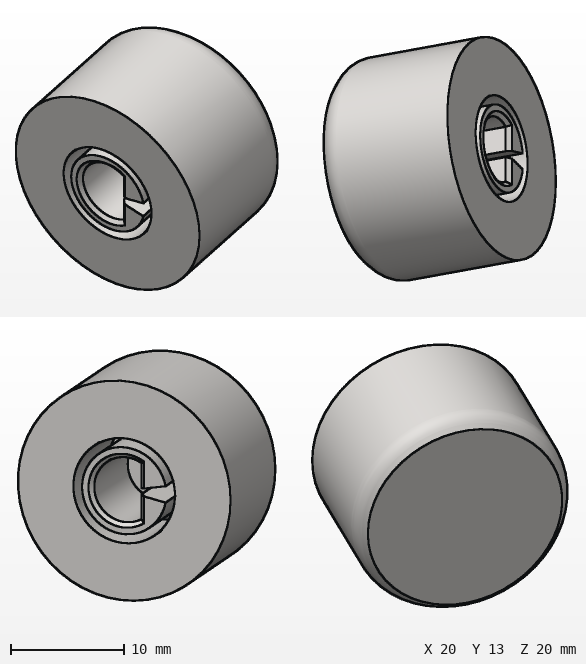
import cadquery as cq
import math

body_radius = 10.0
body_length = 13.0
round_radius = 2.0
bevel_depth = 0.4

socket_radius = 4.78
sleeve_radius = 3.95
socket_depth = 9.0

bore_radius = 2.95
flat_offset = 1.48
lead_in = 0.4

slot_inner_half_width = 0.28
slot_half_angle = math.radians(11)


def make_body():
    """Revolve the half profile; the round ends tangent to the bevel."""
    bend = round_radius * math.sin(math.radians(45))
    bevel_start = body_length - bevel_depth
    round_start = bevel_start - bend
    center_radius = body_radius - round_radius
    mid_angle = math.radians(22.5)
    mid_point = (
        center_radius + round_radius * math.cos(mid_angle),
        round_start + round_radius * math.sin(mid_angle),
    )
    return (
        cq.Workplane("XY")
        .lineTo(body_radius, 0)
        .lineTo(body_radius, round_start)
        .threePointArc(mid_point, (center_radius + bend, bevel_start))
        .lineTo(center_radius + bend - bevel_depth, body_length)
        .lineTo(0, body_length)
        .close()
        .revolve(360, (0, 0), (0, 1))
    )


def make_groove():
    """Ring between socket wall and sleeve; the sleeve root flares out at 45 degrees."""
    flare_start = socket_depth - (socket_radius - sleeve_radius)
    return (
        cq.Workplane("XY")
        .moveTo(sleeve_radius, 0)
        .lineTo(socket_radius, 0)
        .lineTo(socket_radius, socket_depth)
        .lineTo(sleeve_radius, flare_start)
        .close()
        .revolve(360, (0, 0), (0, 1))
    )


def make_bore():
    half_chord = math.sqrt(bore_radius**2 - flat_offset**2)
    shaft_hole = (
        cq.Workplane("XZ")
        .moveTo(flat_offset, -half_chord)
        .threePointArc((-bore_radius, 0), (flat_offset, half_chord))
        .close()
        .extrude(-socket_depth)
    )
    wide_radius = bore_radius + lead_in
    cone = (
        cq.Workplane("XY")
        .lineTo(wide_radius, 0)
        .lineTo(bore_radius, lead_in)
        .lineTo(0, lead_in)
        .close()
        .revolve(360, (0, 0), (0, 1))
    )
    flat_side = (
        cq.Workplane("XY")
        .moveTo(-wide_radius, 0)
        .lineTo(flat_offset + lead_in, 0)
        .lineTo(flat_offset, lead_in)
        .lineTo(-wide_radius, lead_in)
        .close()
        .extrude(wide_radius, both=True)
    )
    return shaft_hole.union(cone.intersect(flat_side))


def make_slot():
    """Wedge widening outward from the bore flat, ended by the socket wall."""
    slot_run = socket_radius - flat_offset
    outer_half_width = slot_inner_half_width + slot_run * math.tan(slot_half_angle)
    wedge = (
        cq.Workplane("XZ")
        .moveTo(flat_offset, -slot_inner_half_width)
        .lineTo(socket_radius, -outer_half_width)
        .lineTo(socket_radius, outer_half_width)
        .lineTo(flat_offset, slot_inner_half_width)
        .close()
        .extrude(-socket_depth)
    )
    socket = cq.Workplane("XZ").circle(socket_radius).extrude(-socket_depth)
    return wedge.intersect(socket)


result = make_body().cut(make_groove()).cut(make_bore()).cut(make_slot())